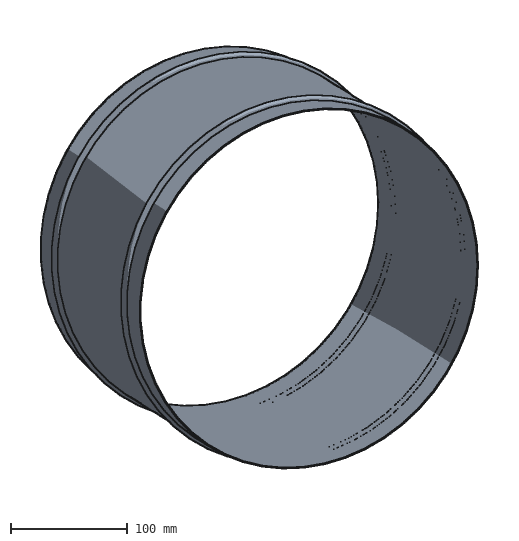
import cadquery as cq

length = 200.0
bead_crest_radius = 163.0
bead_height = 3.3
bead_width = 8.5
bead_offset = 30.0
wall = 1.0

tube_radius = bead_crest_radius - bead_height
bore_radius = tube_radius - wall
bead_place = length / 2 - bead_offset

section = (
    cq.Workplane("XY")
    .moveTo(-length / 2, bore_radius)
    .lineTo(-length / 2, tube_radius)
)
for bead_x in (-bead_place, bead_place):
    bead_crest = (bead_x, bead_crest_radius)
    bead_end = (bead_x + bead_width / 2, tube_radius)
    section = section.lineTo(bead_x - bead_width / 2, tube_radius)
    section = section.threePointArc(bead_crest, bead_end)
section = (
    section.lineTo(length / 2, tube_radius)
    .lineTo(length / 2, bore_radius)
    .close()
)

result = section.revolve(360, (0, 0, 0), (1, 0, 0))